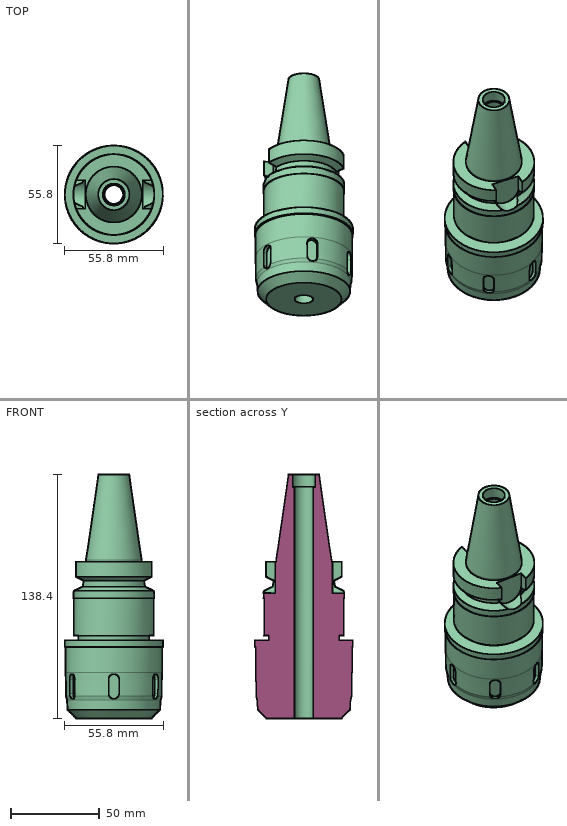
import cadquery as cq
import math

TOTAL_HEIGHT = 138.4
TAPER_LENGTH = 48.4
TAPER_RATIO = 7 / 24
GAUGE_RADIUS = 31.75 / 2
GAUGE_Z = TOTAL_HEIGHT - TAPER_LENGTH
TAPER_TIP_RADIUS = GAUGE_RADIUS - TAPER_LENGTH * TAPER_RATIO / 2

FLANGE_RADIUS = 23.0
FLANGE_TOP_Z = 89.0
FLANGE_BOTTOM_Z = 80.4
GROOVE_RADIUS = 19.0
GROOVE_FLANK_ANGLE = 30
GROOVE_FLANK_HEIGHT = (FLANGE_RADIUS - GROOVE_RADIUS) * math.tan(math.radians(GROOVE_FLANK_ANGLE))
GROOVE_TOP_Z = FLANGE_BOTTOM_Z - GROOVE_FLANK_HEIGHT
GROOVE_BOTTOM_Z = 74.8
COLLAR_TOP_Z = GROOVE_BOTTOM_Z - GROOVE_FLANK_HEIGHT
COLLAR_BOTTOM_Z = 68.15

BODY_RADIUS = 22.75
BODY_BOTTOM_Z = 47.0
NECK_RADIUS = 20.2

NUT_RIM_RADIUS = 27.9
NUT_TOP_Z = 44.5
NUT_RIM_BOTTOM_Z = 40.7
NUT_STEP_HEIGHT = 0.4
NUT_RADIUS = 27.5
NUT_CONE_TOP_Z = 26.1
NUT_CONE_BOTTOM_RADIUS = 27.3
NUT_CONE_BOTTOM_Z = 12.8
NUT_NOSE_TOP_RADIUS = 26.7
NUT_NOSE_TOP_Z = 10.7
NUT_NOSE_RADIUS = 26.3
NUT_CHAMFER = 4.9

BORE_RADIUS = 5.25
COUNTERBORE_RADIUS = 6.25
COUNTERBORE_DEPTH = 7.0

KEY_COUNT = 2
KEY_WIDTH = 16.1
KEY_FLOOR_X = 16.3
KEY_BOTTOM_Z = 71.2

WRENCH_COUNT = 6
WRENCH_WIDTH = 6.0
WRENCH_BOTTOM_Z = 11.2
WRENCH_TOP_Z = 25.2
WRENCH_FLOOR_RADIUS = 25.0

CUT_CLEARANCE = 5.0


def turned_body():
    """Solid of revolution about Z: taper, flange, body and nut."""
    profile = [
        (0, 0),
        (NUT_NOSE_RADIUS - NUT_CHAMFER, 0),
        (NUT_NOSE_RADIUS, NUT_CHAMFER),
        (NUT_NOSE_TOP_RADIUS, NUT_NOSE_TOP_Z),
        (NUT_CONE_BOTTOM_RADIUS, NUT_CONE_BOTTOM_Z),
        (NUT_RADIUS, NUT_CONE_TOP_Z),
        (NUT_RADIUS, NUT_RIM_BOTTOM_Z - NUT_STEP_HEIGHT),
        (NUT_RIM_RADIUS, NUT_RIM_BOTTOM_Z),
        (NUT_RIM_RADIUS, NUT_TOP_Z),
        (NECK_RADIUS, NUT_TOP_Z),
        (NECK_RADIUS, BODY_BOTTOM_Z),
        (BODY_RADIUS, BODY_BOTTOM_Z),
        (BODY_RADIUS, COLLAR_BOTTOM_Z),
        (FLANGE_RADIUS, COLLAR_BOTTOM_Z),
        (FLANGE_RADIUS, COLLAR_TOP_Z),
        (GROOVE_RADIUS, GROOVE_BOTTOM_Z),
        (GROOVE_RADIUS, GROOVE_TOP_Z),
        (FLANGE_RADIUS, FLANGE_BOTTOM_Z),
        (FLANGE_RADIUS, FLANGE_TOP_Z),
        (GAUGE_RADIUS, FLANGE_TOP_Z),
        (GAUGE_RADIUS, GAUGE_Z),
        (TAPER_TIP_RADIUS, TOTAL_HEIGHT),
        (0, TOTAL_HEIGHT),
    ]
    return cq.Workplane("YZ").polyline(profile).close().revolve(360, (0, 0), (0, 1))


def stepped_bore():
    """Through bore with a counterbore at the taper tip."""
    bore = cq.Workplane("XY").circle(BORE_RADIUS).extrude(TOTAL_HEIGHT)
    counterbore = (
        cq.Workplane("XY", origin=(0, 0, TOTAL_HEIGHT - COUNTERBORE_DEPTH))
        .circle(COUNTERBORE_RADIUS)
        .extrude(COUNTERBORE_DEPTH)
    )
    return bore.union(counterbore)


def key_slot():
    """Drive slot on the +X side: flat floor, rounded lower end, open at the flange top."""
    half_width = KEY_WIDTH / 2
    arc_center_z = KEY_BOTTOM_Z + half_width
    depth = FLANGE_RADIUS - KEY_FLOOR_X + CUT_CLEARANCE
    return (
        cq.Workplane("YZ", origin=(KEY_FLOOR_X, 0, 0))
        .moveTo(-half_width, FLANGE_TOP_Z)
        .lineTo(-half_width, arc_center_z)
        .threePointArc((0, KEY_BOTTOM_Z), (half_width, arc_center_z))
        .lineTo(half_width, FLANGE_TOP_Z)
        .close()
        .extrude(depth)
    )


def wrench_slot():
    """Upright round-ended slot on the -Y side of the nut."""
    depth = NUT_RADIUS - WRENCH_FLOOR_RADIUS + CUT_CLEARANCE
    mid_z = (WRENCH_BOTTOM_Z + WRENCH_TOP_Z) / 2
    return (
        cq.Workplane("XZ", origin=(0, -WRENCH_FLOOR_RADIUS, mid_z))
        .slot2D(WRENCH_TOP_Z - WRENCH_BOTTOM_Z, WRENCH_WIDTH, 90)
        .extrude(depth)
    )


def rotated_copies(cutter, count):
    """Copies of a cutter spaced evenly about the Z axis."""
    return [cutter.rotate((0, 0, 0), (0, 0, 1), i * 360 / count) for i in range(count)]


result = turned_body().cut(stepped_bore())
for slot in rotated_copies(key_slot(), KEY_COUNT):
    result = result.cut(slot)
for slot in rotated_copies(wrench_slot(), WRENCH_COUNT):
    result = result.cut(slot)